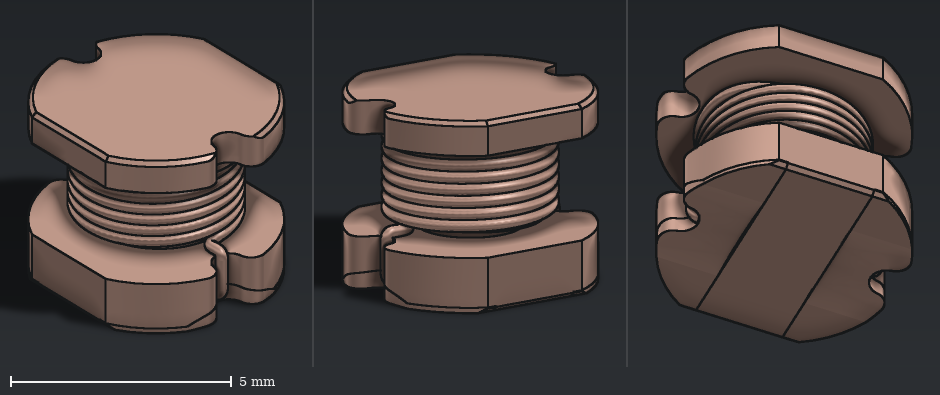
import cadquery as cq
import math

total_height = 4.5
flange_radius = 2.9
flange_width = 5.2
lower_flange_height = 1.3
upper_flange_height = 0.8
edge_chamfer = 0.105
post_radius = 1.2
upper_flange_bottom = total_height - upper_flange_height
flat_half_length = math.sqrt(flange_radius**2 - (flange_width / 2) ** 2)

notch_center_x = 2.545
notch_radius = 0.4
notch_lip_radius = 0.35
notch_bottom_x = notch_center_x - notch_radius

terminal_inner_x = 1.07
terminal_height = 0.13
terminal_arch_height = 0.5
terminal_relief_height = 0.085
arch_half_width = flat_half_length

wire_radius = 0.14
clearance = 0.005
lead_x = notch_bottom_x + wire_radius + clearance
lead_z = lower_flange_height + wire_radius + clearance
lead_bend_radius = 0.145
tip_bend_radius = 0.225
tip_z = 0.28
right_joint_x = 1.96
left_joint_x = 1.875

coil_pitch = 0.285
outer_coil_radius = 1.875
outer_start_angle = 12.0
outer_start_z = 1.59
outer_turn_angle = 6 * 360 + 304.0
outer_end_angle = outer_start_angle + outer_turn_angle
outer_end_z = outer_start_z + coil_pitch * outer_turn_angle / 360
inner_coil_radius = outer_coil_radius - 2 * wire_radius - clearance
inner_start_angle = 90.0
inner_turn_angle = 7 * 360 + 78.0
inner_end_angle = inner_start_angle + inner_turn_angle
inner_end_z = lead_z
inner_start_z = inner_end_z + coil_pitch * inner_turn_angle / 360
crossover_radius = 1.965
crossover_z = upper_flange_bottom - wire_radius - clearance


def flange_disc(height):
    """Disc with two flat sides, standing on Z = 0, before the notches are cut."""
    half_width = flange_width / 2
    return (
        cq.Workplane("XY")
        .moveTo(-flat_half_length, -half_width)
        .lineTo(flat_half_length, -half_width)
        .threePointArc((flange_radius, 0), (flat_half_length, half_width))
        .lineTo(-flat_half_length, half_width)
        .threePointArc((-flange_radius, 0), (-flat_half_length, -half_width))
        .close()
        .extrude(height)
    )


def notch_cutters():
    """Two round notches that flow into the flange rim over rounded lips."""
    lip_orbit = flange_radius - notch_lip_radius
    lip_reach = notch_radius + notch_lip_radius
    lip_x = (lip_orbit**2 - lip_reach**2 + notch_center_x**2) / (2 * notch_center_x)
    lip_y = math.sqrt(lip_orbit**2 - lip_x**2)
    rim_x = lip_x * flange_radius / lip_orbit
    rim_y = lip_y * flange_radius / lip_orbit
    root_x = notch_center_x + (lip_x - notch_center_x) * notch_radius / lip_reach
    root_y = lip_y * notch_radius / lip_reach
    lip_middle_angle = math.radians(-30)
    middle_x = lip_x + notch_lip_radius * math.cos(lip_middle_angle)
    middle_y = lip_y + notch_lip_radius * math.sin(lip_middle_angle)
    outside_x = flange_radius + notch_lip_radius
    right = (
        cq.Workplane("XY")
        .moveTo(outside_x, -rim_y)
        .lineTo(rim_x, -rim_y)
        .threePointArc((middle_x, -middle_y), (root_x, -root_y))
        .threePointArc((notch_bottom_x, 0), (root_x, root_y))
        .threePointArc((middle_x, middle_y), (rim_x, rim_y))
        .lineTo(outside_x, rim_y)
        .close()
        .extrude(total_height)
    )
    return right.union(right.mirror("YZ"))


def lower_flange():
    """Flange whose flat sides are chamfered at the bottom."""
    disc = flange_disc(lower_flange_height)
    chamfered = disc.faces("<Y or >Y").edges("<Z").chamfer(edge_chamfer)
    return chamfered.cut(notch_cutters())


def upper_flange():
    """Flange whose whole rim is chamfered at the top, except in the notches."""
    disc = flange_disc(upper_flange_height).faces(">Z").chamfer(edge_chamfer)
    return disc.translate((0, 0, upper_flange_bottom)).cut(notch_cutters())


def core_post():
    post_height = upper_flange_bottom - lower_flange_height
    base = cq.Workplane("XY").workplane(offset=lower_flange_height)
    return base.circle(post_radius).extrude(post_height)


def terminal_plane(side):
    return cq.Workplane("YZ", origin=(side * terminal_inner_x, 0, 0))


def terminal_block(side):
    """Slab with an arched top, from the terminal's inner edge to the flange rim."""
    half_width = flange_width / 2
    return (
        terminal_plane(side)
        .moveTo(-half_width, 0)
        .lineTo(half_width, 0)
        .lineTo(half_width, terminal_height)
        .lineTo(arch_half_width, terminal_height)
        .threePointArc((0, terminal_arch_height), (-arch_half_width, terminal_height))
        .lineTo(-half_width, terminal_height)
        .close()
        .extrude(side * (flange_radius - terminal_inner_x))
    )


def terminal_relief(side):
    """Shallow arch along the underside of a terminal."""
    return (
        terminal_plane(side)
        .moveTo(-arch_half_width, 0)
        .threePointArc((0, terminal_relief_height), (arch_half_width, 0))
        .close()
        .extrude(side * (flange_radius - terminal_inner_x))
    )


def terminal(side):
    body = lower_flange().intersect(terminal_block(side))
    return body.cut(terminal_relief(side)).cut(tube(lead(side)))


def tube(edges):
    """Round wire along a chain of edges."""
    path = cq.Wire.assembleEdges(edges)
    end_plane = cq.Plane(path.startPoint(), normal=path.tangentAt(0))
    return cq.Workplane(end_plane).circle(wire_radius).sweep(cq.Workplane(path))


def lead(side):
    """Edges from the tip in the notch wall, up the notch and over its top edge."""
    arc_inset = 1 - math.sqrt(0.5)

    def point(x, z):
        return cq.Vector(side * x, 0, z)

    tip = point(lead_x - tip_bend_radius, tip_z)
    tip_inset = tip_bend_radius * arc_inset
    tip_middle = point(lead_x - tip_inset, tip_z + tip_inset)
    upright_bottom = point(lead_x, tip_z + tip_bend_radius)
    upright_top = point(lead_x, lead_z - lead_bend_radius)
    bend_inset = lead_bend_radius * arc_inset
    bend_middle = point(lead_x - bend_inset, lead_z - bend_inset)
    bend_end = point(lead_x - lead_bend_radius, lead_z)
    return [
        cq.Edge.makeThreePointArc(tip, tip_middle, upright_bottom),
        cq.Edge.makeLine(upright_bottom, upright_top),
        cq.Edge.makeThreePointArc(upright_top, bend_middle, bend_end),
    ]


def lead_run(side, joint_x):
    """Straight edge from the upper bend of a lead in to its joint with the coil."""
    bend_end = cq.Vector(side * (lead_x - lead_bend_radius), 0, lead_z)
    return cq.Edge.makeLine(bend_end, cq.Vector(side * joint_x, 0, lead_z))


def coil_point(radius, angle, z):
    turn = math.radians(angle)
    return cq.Vector(radius * math.cos(turn), radius * math.sin(turn), z)


def coil_direction(radius, angle, climb):
    """Unit tangent of a counter-clockwise coil; climb is +1 upward, -1 downward."""
    turn = math.radians(angle)
    rise = climb * coil_pitch / (2 * math.pi)
    return cq.Vector(-radius * math.sin(turn), radius * math.cos(turn), rise).normalized()


def coil(radius, start_angle, start_z, turn_angle, climb):
    """Edges of a counter-clockwise coil; climb is +1 upward, -1 downward."""
    x_axis = cq.Vector(1, 0, 0)
    z_axis = cq.Vector(0, 0, 1)
    height = coil_pitch * turn_angle / 360
    helix = cq.Wire.makeHelix(coil_pitch, height, radius, lefthand=climb < 0)
    if climb < 0:
        helix = helix.rotate(cq.Vector(), x_axis, 180)
    helix = helix.rotate(cq.Vector(), z_axis, start_angle)
    return helix.translate(z_axis * start_z).Edges()


def outer_layer():
    """Right-hand lead, the curve into the coil, and the climbing turns."""
    joint = cq.Edge.makeSpline(
        [
            cq.Vector(right_joint_x, 0, lead_z),
            coil_point(outer_coil_radius, outer_start_angle, outer_start_z),
        ],
        tangents=[
            cq.Vector(-1, 0, 0),
            coil_direction(outer_coil_radius, outer_start_angle, 1),
        ],
    )
    turns = coil(outer_coil_radius, outer_start_angle, outer_start_z, outer_turn_angle, 1)
    return tube(lead(1) + [lead_run(1, right_joint_x), joint] + turns)


def crossover():
    """Curve at the top that leads from the outer layer in to the inner one."""
    path = cq.Edge.makeSpline(
        [
            coil_point(outer_coil_radius, outer_end_angle, outer_end_z),
            coil_point(crossover_radius, 0, crossover_z),
            coil_point(inner_coil_radius, inner_start_angle, inner_start_z),
        ],
        tangents=[
            coil_direction(outer_coil_radius, outer_end_angle, 1),
            coil_direction(inner_coil_radius, inner_start_angle, -1),
        ],
    )
    return tube([path])


def inner_layer():
    """Left-hand lead, the curve into the coil, and the descending turns."""
    joint = cq.Edge.makeSpline(
        [
            coil_point(inner_coil_radius, inner_end_angle, inner_end_z),
            cq.Vector(-left_joint_x, 0, lead_z),
        ],
        tangents=[
            coil_direction(inner_coil_radius, inner_end_angle, -1),
            cq.Vector(-1, 0, 0),
        ],
    )
    turns = coil(inner_coil_radius, inner_start_angle, inner_start_z, inner_turn_angle, -1)
    return tube(lead(-1) + [lead_run(-1, left_joint_x), joint] + turns)


core = lower_flange().union(core_post()).union(upper_flange())
terminals = []
for side in (-1, 1):
    core = core.cut(terminal_block(side)).cut(tube(lead(side)))
    terminals.append(terminal(side).val())

winding = outer_layer().union(crossover()).union(inner_layer())

result = cq.Compound.makeCompound([core.val(), winding.val(), *terminals])